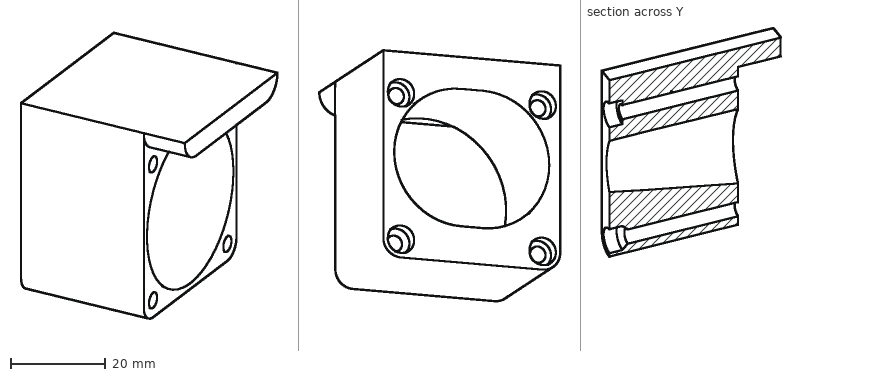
import cadquery as cq
import math

height = 45.0
width = height * 8 / 9
body_length = width * 3 / 4
corner_radius = width / 10
flange_radius = width / 8

slot_width = 35.0
slot_height = 30.0
slot_center_z = 23.0
outlet_diameter = 37.2

hole_inset = corner_radius
hole_spacing = width - 2 * hole_inset
fan_center_z = width / 2
hole_diameter = 3.5
head_diameter = 6.0
head_depth = 3.0
cone_depth = (head_diameter - hole_diameter) / 2

x_inlet = -width / 2


def section(x):
    """Workplane across the part at x, with local axes along Y and Z."""
    return cq.Workplane("YZ", origin=(x, 0, 0))


def make_body():
    block = section(x_inlet).rect(width, height).extrude(body_length)
    block = block.translate((0, 0, height / 2))
    return block.edges("|X and <Z").fillet(corner_radius)


def make_flange():
    """Top flange whose long lower edges are rounded through its full thickness."""
    half_width = width / 2
    inner_y = half_width - flange_radius
    arc_offset = flange_radius * math.sqrt(0.5)
    bottom_z = height - flange_radius
    return (
        section(x_inlet)
        .moveTo(-half_width, height)
        .threePointArc((-inner_y - arc_offset, height - arc_offset), (-inner_y, bottom_z))
        .lineTo(inner_y, bottom_z)
        .threePointArc((inner_y + arc_offset, height - arc_offset), (half_width, height))
        .close()
        .extrude(width)
    )


def make_duct():
    return (
        section(x_inlet)
        .center(0, slot_center_z)
        .slot2D(slot_width, slot_height)
        .workplane(offset=body_length)
        .center(0, fan_center_z - slot_center_z)
        .circle(outlet_diameter / 2)
        .loft(ruled=True)
    )


def make_screw_hole(y, z, conical):
    """Through hole with a round head recess, optionally with a conical seat."""
    hole = section(x_inlet).center(y, z).circle(hole_diameter / 2).extrude(body_length)
    head = section(x_inlet).center(y, z).circle(head_diameter / 2).extrude(head_depth)
    cutter = hole.union(head)
    if conical:
        seat = cq.Solid.makeCone(
            head_diameter / 2,
            hole_diameter / 2,
            cone_depth,
            pnt=cq.Vector(x_inlet + head_depth, y, z),
            dir=cq.Vector(1, 0, 0),
        )
        cutter = cutter.union(cq.Workplane(seat))
    return cutter


result = make_body().union(make_flange()).cut(make_duct())

for y_side in (-1, 1):
    for z_side in (-1, 1):
        hole_y = y_side * hole_spacing / 2
        hole_z = fan_center_z + z_side * hole_spacing / 2
        has_cone = y_side > 0 and z_side < 0
        result = result.cut(make_screw_hole(hole_y, hole_z, has_cone))